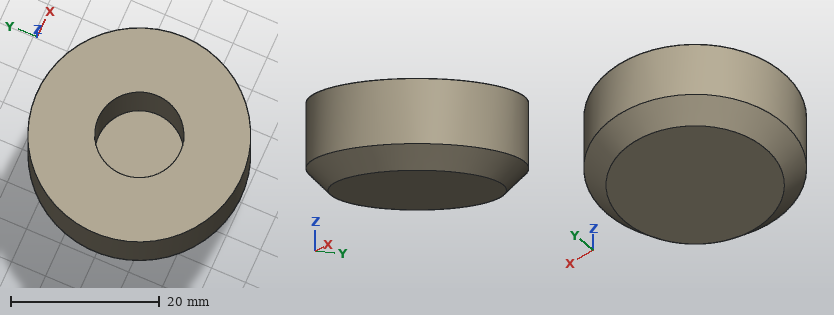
import cadquery as cq

outer_diameter = 30.0
height = 12.0

bevel = 3.0

bore_diameter = 12.0
floor_thickness = bevel
bore_depth = height - floor_thickness


def make_body():
    """Disc standing on Z = 0 with a beveled bottom edge."""
    disc = cq.Workplane("XY").circle(outer_diameter / 2).extrude(height)
    return disc.faces("<Z").edges().chamfer(bevel)


def cut_bore(body):
    """Flat-bottomed bore centered in the top face."""
    return body.faces(">Z").workplane().hole(bore_diameter, bore_depth)


result = cut_bore(make_body())